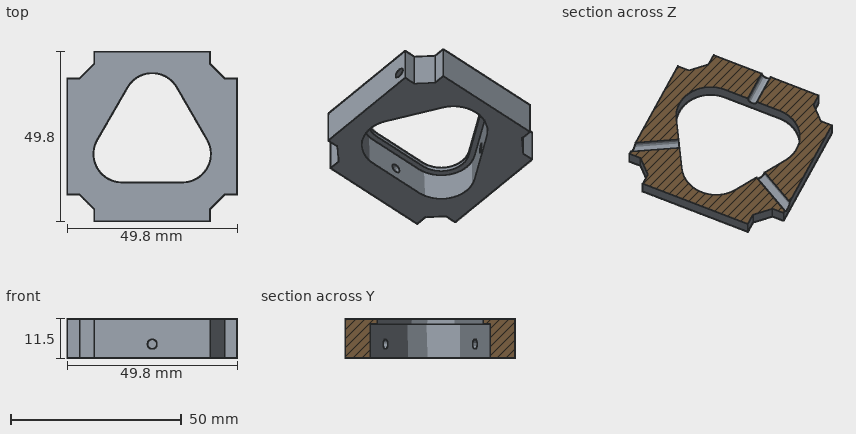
import cadquery as cq
import math

side = 49.8
height = 11.5

flat_width = 34.0
shoulder = 3.6

corner_radius = 8.3
throat_inradius = 13.42
undercut = 1.7
lip_thickness = 1.5

hole_diameter = 2.8
hole_height = 4.1
hole_angles = (30, 150, 270)


def corner_relief(x_sign, y_sign):
    """Stepped cutter that removes one vertical corner of the block."""
    outer = side / 2
    inner = flat_width / 2
    step = outer - shoulder
    outline = [(outer, outer), (inner, outer), (inner, step), (step, inner), (outer, inner)]
    points = [(x_sign * x, y_sign * y) for x, y in outline]
    return cq.Workplane("XY").polyline(points).close().extrude(height)


def rounded_triangle(inradius, radius, depth):
    """Equilateral triangular prism on Z = 0 with rounded vertical edges and an apex towards +Y."""
    circumscribed_diameter = 4 * inradius
    return (
        cq.Workplane("XY")
        .transformed(rotate=(0, 0, 90))
        .polygon(3, circumscribed_diameter)
        .extrude(depth)
        .edges("|Z")
        .fillet(radius)
    )


def radial_hole(angle):
    """Cylinder running from the axis out past the side of the block."""
    direction = cq.Vector(math.cos(math.radians(angle)), math.sin(math.radians(angle)), 0)
    start = cq.Vector(0, 0, hole_height)
    return cq.Solid.makeCylinder(hole_diameter / 2, side, start, direction)


result = cq.Workplane("XY").rect(side, side).extrude(height)

for x_sign in (-1, 1):
    for y_sign in (-1, 1):
        result = result.cut(corner_relief(x_sign, y_sign))

result = result.cut(rounded_triangle(throat_inradius, corner_radius, height))
result = result.cut(
    rounded_triangle(throat_inradius + undercut, corner_radius + undercut, height - lip_thickness)
)

for angle in hole_angles:
    result = result.cut(cq.Workplane(obj=radial_hole(angle)))